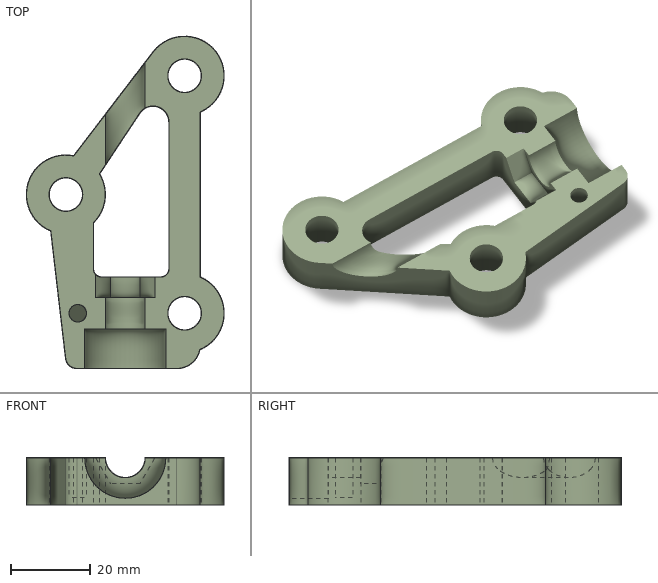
import cadquery as cq
import math

thickness = 12.0

boss_radius = 10.0
screw_diameter = 8.4
boss_x = 15.0
boss_y = 30.0
upper_boss = (boss_x, boss_y)
side_boss = (-boss_x, 0.0)
lower_boss = (boss_x, -boss_y)
bosses = [upper_boss, side_boss, lower_boss]

right_wall_x = 19.0
bottom_y = -44.0
bottom_left_x = -14.8
bottom_left_radius = 3.0
bottom_right_radius = 6.0
leg_top = (-18.85, -9.2)
arm_angle = math.radians(52.6)

window_left_x = -8.0
window_right_x = 11.0
window_bottom_y = -20.8
window_bottom_radius = 2.0
window_top_radius = 4.0
window_top_center_y = 18.3
window_slope_angle = math.radians(56.5)

rod_radius = 5.0
recess_radius = 10.25
recess_depth = 10.0
nut_sides = 6
nut_across_corners = 15.0
nut_seat_y = -26.0

pin_center = (-12.0, -30.0)
pin_diameter = 4.4
pin_depth = 10.0


def tangent_point(center, radius, angle):
    """Point where a line at the given angle touches the upper left of a circle."""
    return (
        center[0] - radius * math.sin(angle),
        center[1] + radius * math.cos(angle),
    )


def point_on_line(start, angle, x):
    """Point at the given X on a line through start."""
    return (x, start[1] + (x - start[0]) * math.tan(angle))


def vertical_edge_at(x, y):
    """Selector for the vertical edge standing at one corner of a plate."""
    margin = 0.1
    return cq.selectors.BoxSelector(
        (x - margin, y - margin, -margin),
        (x + margin, y + margin, thickness + margin),
    )


def make_frame():
    """Plate that joins the bosses; its outer arm edge is tangent to the upper boss."""
    arm_top = tangent_point(upper_boss, boss_radius, arm_angle)
    arm_bottom = point_on_line(arm_top, arm_angle, side_boss[0])
    plate = (
        cq.Workplane("XY")
        .moveTo(bottom_left_x, bottom_y)
        .lineTo(right_wall_x, bottom_y)
        .lineTo(right_wall_x, upper_boss[1])
        .lineTo(*upper_boss)
        .lineTo(*arm_top)
        .lineTo(*arm_bottom)
        .lineTo(*side_boss)
        .lineTo(*leg_top)
        .close()
        .extrude(thickness)
    )
    plate = plate.edges(vertical_edge_at(bottom_left_x, bottom_y)).fillet(bottom_left_radius)
    return plate.edges(vertical_edge_at(right_wall_x, bottom_y)).fillet(bottom_right_radius)


def make_window():
    """Opening with a rounded top, closed on the upper left by the sloping arm."""
    top_center = (window_right_x - window_top_radius, window_top_center_y)
    slope_top = tangent_point(top_center, window_top_radius, window_slope_angle)
    slope_bottom = point_on_line(slope_top, window_slope_angle, window_left_x)
    window = (
        cq.Workplane("XY")
        .moveTo(window_left_x, window_bottom_y)
        .lineTo(window_right_x, window_bottom_y)
        .lineTo(window_right_x, window_top_center_y)
        .threePointArc((top_center[0], top_center[1] + window_top_radius), slope_top)
        .lineTo(*slope_bottom)
        .close()
        .extrude(thickness)
    )
    for x in (window_left_x, window_right_x):
        window = window.edges(vertical_edge_at(x, window_bottom_y)).fillet(window_bottom_radius)
    return window


def rod_axis_plane(y):
    """Workplane across the rod axis at the given Y, facing -Y."""
    return cq.Workplane("XZ", origin=(0, y, thickness))


def make_rod_cuts():
    """Rod channel over the full length, recess at the lower end, nut pocket at the window."""
    top_y = upper_boss[1] + boss_radius
    channel = rod_axis_plane(top_y).circle(rod_radius).extrude(top_y - bottom_y)
    recess = rod_axis_plane(bottom_y + recess_depth).circle(recess_radius).extrude(recess_depth)
    pocket_top_y = window_bottom_y + window_bottom_radius
    pocket = (
        rod_axis_plane(pocket_top_y)
        .polygon(nut_sides, nut_across_corners)
        .extrude(pocket_top_y - nut_seat_y)
    )
    return channel.union(recess).union(pocket)


def make_pin_hole():
    """Blind hole sunk from the top face."""
    return (
        cq.Workplane("XY", origin=(0, 0, thickness))
        .center(*pin_center)
        .circle(pin_diameter / 2)
        .extrude(-pin_depth)
    )


boss_cylinders = cq.Workplane("XY").pushPoints(bosses).circle(boss_radius).extrude(thickness)
screw_holes = cq.Workplane("XY").pushPoints(bosses).circle(screw_diameter / 2).extrude(thickness)

result = (
    make_frame()
    .cut(make_window())
    .union(boss_cylinders)
    .cut(screw_holes)
    .cut(make_rod_cuts())
    .cut(make_pin_hole())
)